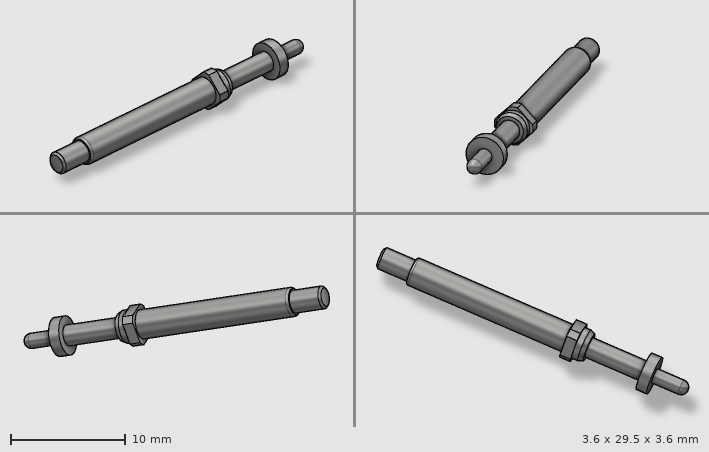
import cadquery as cq

total_length = 29.5

tail_diameter = 2.05
tail_length = 3.0
tail_chamfer = 0.2

barrel_diameter = 2.6
barrel_length = 15.0
barrel_round_length = 0.25
barrel_round_depth = 0.133

collar_diameter = 3.6
collar_across_flats = 3.0
collar_length = 1.0

shoulder_diameter = 2.95
shoulder_length = 1.0
shoulder_chamfer_length = 0.45
shoulder_chamfer_depth = 0.2

neck_diameter = 1.85
flange_diameter = 3.48
flange_length = 1.0

tip_diameter = 1.35
tip_length = 3.22

barrel_start = tail_length
collar_start = barrel_start + barrel_length
shoulder_start = collar_start + collar_length
neck_start = shoulder_start + shoulder_length
tip_start = total_length - tip_length
flange_start = tip_start - flange_length


def cylinder(diameter, start, end):
    """Solid round section of the pin between two stations on the Y axis."""
    base = cq.Workplane("XZ", origin=(0, start, 0))
    return base.circle(diameter / 2).extrude(start - end)


def collar():
    """Round collar with four wrench flats at 45 degrees to X and Z."""
    disc = cylinder(collar_diameter, collar_start, shoulder_start)
    square = (
        cq.Workplane("XZ", origin=(0, collar_start, 0))
        .transformed(rotate=(0, 0, 45))
        .rect(collar_across_flats, collar_across_flats)
        .extrude(-collar_length)
    )
    return disc.intersect(square)


def barrel():
    """Barrel whose tail-side edge is rounded by an arc tangent to its side."""
    radius = barrel_diameter / 2
    half_profile = (
        cq.Workplane("XY")
        .moveTo(0, barrel_start)
        .lineTo(0, collar_start)
        .lineTo(radius, collar_start)
        .lineTo(radius, barrel_start + barrel_round_length)
        .tangentArcPoint((radius - barrel_round_depth, barrel_start), relative=False)
        .close()
    )
    return half_profile.revolve(360, (0, 0), (0, 1))


def domed_tip():
    """Slim tip closed by a hemisphere."""
    dome_centre = total_length - tip_diameter / 2
    dome = cq.Workplane("XY", origin=(0, dome_centre, 0)).sphere(tip_diameter / 2)
    return cylinder(tip_diameter, tip_start, dome_centre).union(dome)


tail = cylinder(tail_diameter, 0, barrel_start).faces("<Y").edges().chamfer(tail_chamfer)
shoulder = (
    cylinder(shoulder_diameter, shoulder_start, neck_start)
    .faces(">Y")
    .edges()
    .chamfer(shoulder_chamfer_length, shoulder_chamfer_depth)
)
neck = cylinder(neck_diameter, neck_start, flange_start)
flange = cylinder(flange_diameter, flange_start, tip_start)

result = (
    tail.union(barrel())
    .union(collar())
    .union(shoulder)
    .union(neck)
    .union(flange)
    .union(domed_tip())
)